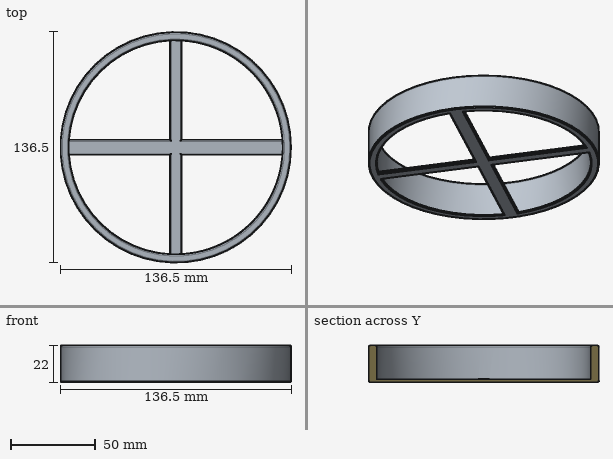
import cadquery as cq
outer_diameter = 136.5
inner_diameter = 126.5
ring_height = 22.0
edge_radius = 1.0
bottom_chamfer = 0.7

x_bar_width = 9.0
y_bar_width = 7.0
bar_thickness = 2.0
bar_edge_radius = 0.8
bar_length = (outer_diameter + inner_diameter) / 2


def make_ring():
    """Ring with its top edges rounded and its bottom edges chamfered."""
    ring = (
        cq.Workplane("XY")
        .circle(outer_diameter / 2)
        .circle(inner_diameter / 2)
        .extrude(ring_height)
    )
    ring = ring.faces(">Z").edges().fillet(edge_radius)
    ring = ring.faces("<Z").edges(cq.selectors.RadiusNthSelector(0)).chamfer(bottom_chamfer)
    return ring.faces("<Z").edges(cq.selectors.RadiusNthSelector(-1)).chamfer(bottom_chamfer)


def make_bar(size_x, size_y, long_axis):
    """Bar standing on the base plane with its upper long edges rounded and its lower ones chamfered."""
    bar = cq.Workplane("XY").box(size_x, size_y, bar_thickness, centered=(True, True, False))
    bar = bar.edges(f"|{long_axis} and >Z").fillet(bar_edge_radius)
    return bar.edges(f"|{long_axis} and <Z").chamfer(bottom_chamfer)


x_bar = make_bar(bar_length, x_bar_width, "X")
y_bar = make_bar(y_bar_width, bar_length, "Y")
result = make_ring().union(x_bar.union(y_bar))